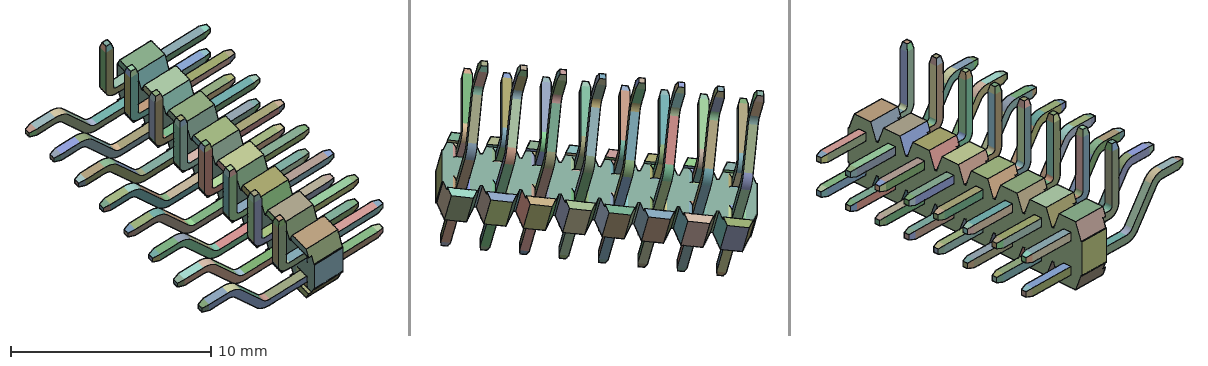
import cadquery as cq
import math


pin_count = 8
pitch = 2.0
body_length = pin_count * pitch
row_height = pitch / 2

body_depth = 2.0
body_height = 4.0
crown_width = 1.12
notch_floor_width = 0.11
lip_depth = 0.2
lip_inner_height = 1.49

pin_width = pitch / 4
tip_width = 0.32
tip_length = 0.4
rear_length = 3.2

mouth_radius = 0.2

upright_distance = 3.26
upright_top = 5.0
upright_inner_radius = 0.2

s_bend_start = 4.06
s_end = 8.3
s_end_height = 1.65
s_bend_angle = math.radians(55)
s_inner_radius = 0.51

body_rear = 0
lip_face = body_rear - body_depth
front_face = lip_face + lip_depth
columns = [(i - (pin_count - 1) / 2) * pitch for i in range(pin_count)]


def body_edge(side):
    """Scalloped edge points from -X to +X, on the top (side=1) or the bottom (side=-1)."""
    floor_z = side * row_height
    crown_z = side * body_height / 2
    floor_reach = (pitch - notch_floor_width) / 2
    points = [(-body_length / 2, floor_z)]
    for x in columns:
        points += [
            (x - floor_reach, floor_z),
            (x - crown_width / 2, crown_z),
            (x + crown_width / 2, crown_z),
            (x + floor_reach, floor_z),
        ]
    points.append((body_length / 2, floor_z))
    return points


def make_body():
    outline = body_edge(1) + body_edge(-1)[::-1]
    body = cq.Workplane("XZ", origin=(0, body_rear, 0)).polyline(outline).close().extrude(body_depth)
    between_lips = cq.Workplane("XY").box(body_length, 2 * lip_depth, 2 * lip_inner_height)
    return body.cut(between_lips.translate((0, lip_face, 0)))


def make_mouth():
    """Square bell that flares from the pin's own section to the front face in convex quarter rounds."""
    half_pin = pin_width / 2
    half_mouth = half_pin + mouth_radius
    flare = (
        cq.Workplane("XY", origin=(0, front_face, 0))
        .moveTo(-half_mouth, 0)
        .radiusArc((-half_pin, mouth_radius), -mouth_radius)
        .lineTo(half_pin, mouth_radius)
        .radiusArc((half_mouth, 0), -mouth_radius)
        .close()
        .extrude(half_mouth, both=True)
    )
    crossing_flare = flare.rotate((0, 0, 0), (0, 1, 0), 90)
    return flare.intersect(crossing_flare)


def make_tip(origin, direction):
    """Pyramid-shaped pin end that starts at origin and points along direction."""
    taper = math.degrees(math.atan((pin_width - tip_width) / 2 / tip_length))
    plane = cq.Plane(origin=origin, xDir=(1, 0, 0), normal=direction)
    return cq.Workplane(plane).rect(pin_width, pin_width).extrude(tip_length, taper=taper)


def make_pin(path, rear, front, front_direction):
    """Square wire along a path in the YZ plane, tapered at both (y, z) ends."""
    section = cq.Workplane("XZ", origin=(0, *rear)).rect(pin_width, pin_width)
    pin = section.sweep(path)
    pin = pin.union(make_tip((0, *rear), (0, 1, 0)))
    return pin.union(make_tip((0, *front), front_direction))


def make_upright_pin():
    rear = (body_rear + rear_length - tip_length, row_height)
    front = (body_rear - upright_distance, upright_top - tip_length)
    radius = upright_inner_radius + pin_width / 2
    path = (
        cq.Workplane("YZ")
        .moveTo(*rear)
        .lineTo(front[0] + radius, row_height)
        .tangentArcPoint((-radius, radius), relative=True)
        .lineTo(*front)
    )
    return make_pin(path, rear, front, (0, 0, 1))


def make_s_pin():
    rear = (body_rear + rear_length - tip_length, -row_height)
    front = (body_rear - s_end + tip_length, s_end_height)
    radius = s_inner_radius + pin_width / 2
    bend_run = radius * math.sin(s_bend_angle)
    bend_rise = radius * (1 - math.cos(s_bend_angle))
    slope_rise = s_end_height + row_height - 2 * bend_rise
    slope_run = slope_rise / math.tan(s_bend_angle)
    path = (
        cq.Workplane("YZ")
        .moveTo(*rear)
        .lineTo(body_rear - s_bend_start, -row_height)
        .tangentArcPoint((-bend_run, bend_rise), relative=True)
        .line(-slope_run, slope_rise)
        .tangentArcPoint((-bend_run, bend_rise), relative=True)
        .lineTo(*front)
    )
    return make_pin(path, rear, front, (0, -1, 0))


result = make_body()
mouth = make_mouth()
upright_pin = make_upright_pin()
s_pin = make_s_pin()
for x in columns:
    for z, pin in ((row_height, upright_pin), (-row_height, s_pin)):
        result = result.cut(mouth.translate((x, 0, z)))
        result = result.union(pin.translate((x, 0, 0)))